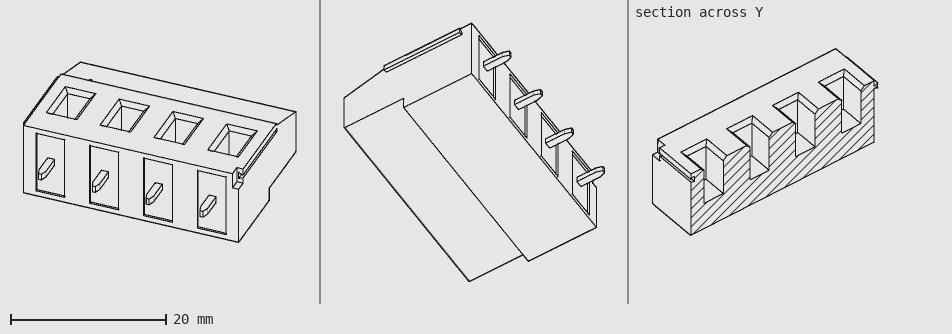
import cadquery as cq


total_length = 30.6
rail_reach = 0.6
body_length = total_length - rail_reach
body_depth = 19.52
body_height = 10.5
left_face = -body_length / 2
right_face = body_length / 2
plate_thickness = 1.5

shoulder_y = 13.0
shoulder_drop = 0.37
shoulder_radius = 0.35
rear_top_z = 8.15
rear_radius = 0.2
rear_bottom_z = 1.9
foot_rear_y = 10.4

pole_count = 4
pitch = body_length / pole_count
pole_positions = [left_face + pitch * (i + 0.5) for i in range(pole_count)]

window_width = 4.25
window_length = 6.43
window_center_y = 7.07
window_bevel = 0.58
window_depth = 6.12

recess_width = 4.0
recess_height = 8.97
recess_depth = 0.3

pin_reach = 3.5
pin_width = 0.98
pin_thickness = 0.9
pin_tip_width = 0.43
pin_taper = 0.9
pin_center_z = 5.65

dovetail_wide = 0.9
dovetail_narrow = 0.45
dovetail_drop = 1.15
dovetail_center_z = body_height - dovetail_drop
dovetail_length = shoulder_y - plate_thickness

notch_width = 0.85
notch_height = 2.2

mark_width = 0.55
mark_length = 0.4
mark_gap = 0.55
mark_y = shoulder_y + mark_gap
mark_depth = 0.1


def make_body():
    """Extrude the side outline along X and round its rear corners and shoulder."""
    outline = [
        (0, 0),
        (foot_rear_y, 0),
        (foot_rear_y, rear_bottom_z),
        (body_depth, rear_bottom_z),
        (body_depth, rear_top_z),
        (shoulder_y, body_height - shoulder_drop),
        (shoulder_y, body_height),
        (0, body_height),
    ]
    body = cq.Workplane("YZ").workplane(offset=left_face).polyline(outline).close().extrude(body_length)
    body = body.faces(">Y").edges("|X").fillet(rear_radius)
    shoulder_edge = cq.selectors.NearestToPointSelector((0, shoulder_y, body_height))
    return body.edges(shoulder_edge).fillet(shoulder_radius)


def make_window(x):
    """Straight well below a 45 degree bevelled mouth."""
    well_width = window_width - 2 * window_bevel
    well_length = window_length - 2 * window_bevel
    top = cq.Workplane("XY", origin=(x, window_center_y, body_height))
    mouth = (
        top.rect(window_width, window_length)
        .workplane(offset=-window_bevel)
        .rect(well_width, well_length)
        .loft(ruled=True)
    )
    well = top.rect(well_width, well_length).extrude(-window_depth)
    return mouth.union(well)


def make_recess(x):
    center = (x, recess_depth / 2, body_height / 2)
    return cq.Workplane("XY").box(recess_width, recess_depth, recess_height).translate(center)


def make_pin(x):
    """Flat pin from the recess floor, narrowing in width to its tip."""
    taper_y = pin_taper - pin_reach
    outline = [
        (-pin_width / 2, recess_depth),
        (pin_width / 2, recess_depth),
        (pin_width / 2, taper_y),
        (pin_tip_width / 2, -pin_reach),
        (-pin_tip_width / 2, -pin_reach),
        (-pin_width / 2, taper_y),
    ]
    plane = cq.Workplane("XY", origin=(x, 0, pin_center_z))
    return plane.polyline(outline).close().extrude(pin_thickness / 2, both=True)


def make_dovetail(root_x):
    """Dovetail bar reaching in -X from root_x, wide at its outer end."""
    outline = [
        (0, -dovetail_narrow / 2),
        (0, dovetail_narrow / 2),
        (-rail_reach, dovetail_wide / 2),
        (-rail_reach, -dovetail_wide / 2),
    ]
    plane = cq.Workplane("XZ", origin=(root_x, plate_thickness, dovetail_center_z))
    return plane.polyline(outline).close().extrude(-dovetail_length)


def make_notch():
    notch = cq.Workplane("XY").box(notch_width, plate_thickness, notch_height, centered=False)
    return notch.translate((right_face - notch_width, 0, body_height - notch_height))


def make_mark():
    """Triangular cutter reaching mark_depth below the slope."""
    slope = (body_height - shoulder_drop - rear_top_z) / (body_depth - shoulder_y)
    surface_z = body_height - shoulder_drop - slope * (mark_y + mark_length / 2 - shoulder_y)
    outline = [(-mark_width / 2, 0), (mark_width / 2, 0), (0, mark_length)]
    plane = cq.Workplane("XY", origin=(pole_positions[0], mark_y, surface_z - mark_depth))
    return plane.polyline(outline).close().extrude(2 * mark_depth + shoulder_drop)


result = make_body().union(make_dovetail(left_face))
result = result.cut(make_dovetail(right_face)).cut(make_notch()).cut(make_mark())
for pole_x in pole_positions:
    result = result.cut(make_window(pole_x)).cut(make_recess(pole_x)).union(make_pin(pole_x))